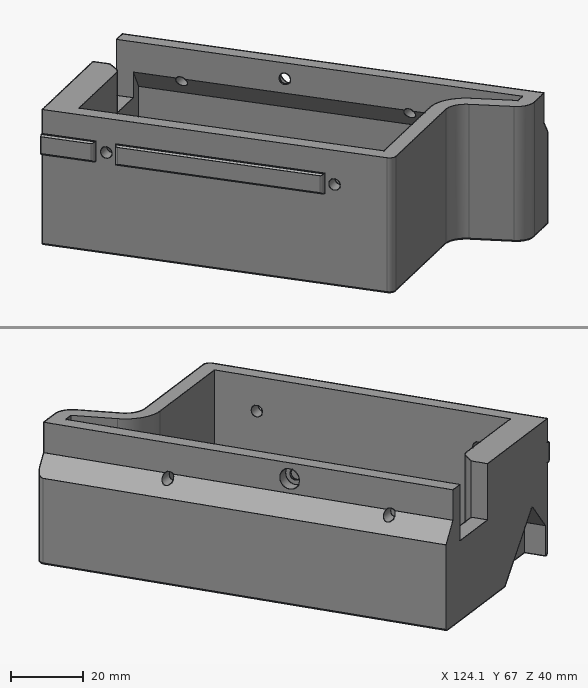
import cadquery as cq
import math

length = 124.1
depth = 65.8
height = 40.0
wall = 4.6
floor = 4.0
bottom_chamfer = 0.5
corner_radius = 2.0

block_length = 103.4
flare_slope = 0.24
flare_tip_y = 49.6
flare_tip_radius = 5.2
flare_root_radius = 6.0

kink_shift = 4.5
kink_top = 31.0
kink_bottom = 25.3
lower_back_wall = 5.0

left_wall = 9.0
notch_wall = 5.0
notch_start_y = 38.8
notch_floor = 23.5
shoulder_radius = 3.7

recess_depth = 6.3
recess_front_y = 1.4
recess_back_y = 27.5
recess_height = 17.1
recess_front_height = 8.9

row_z = 29.9
strip_thickness = 1.2
strip_height = 6.0
strip_end_radius = 1.0
strip_chamfer = 0.5
strip_spans = [(0.0, 15.8), (21.7, 83.1)]

screw_diameter = 3.4
screw_xs = [18.9, 86.0]
middle_x = 49.5
middle_z = 35.2
counterbore_diameter = 6.0
counterbore_web = 0.7

upper_back_y = depth - kink_shift
inner_back_y = upper_back_y - wall
flare_root_y = flare_tip_y - flare_slope * (length - block_length)
flare_wall_in_y = wall * math.hypot(1, flare_slope)
pocket_block_x = block_length - wall
pocket_end_x = length - wall


def pocket_flare_y(x):
    """Y of the inside of the flared wall, one wall thickness behind its outside."""
    return flare_tip_y - flare_slope * (length - x) + flare_wall_in_y


def fillet_upright_edge(solid, x, y, radius):
    """Round the vertical edge that stands at (x, y)."""
    reach = 0.1
    corner = cq.selectors.BoxSelector((x - reach, y - reach, 0), (x + reach, y + reach, height))
    return solid.edges("|Z").edges(corner).fillet(radius)


def kinked_prism(front_y, upper_y, lower_y, bottom_z):
    """Full-length prism whose back face kinks outward below its upper part."""
    return (
        cq.Workplane("YZ")
        .polyline([
            (front_y, bottom_z),
            (lower_y, bottom_z),
            (lower_y, kink_bottom),
            (upper_y, kink_top),
            (upper_y, height),
            (front_y, height),
        ])
        .close()
        .extrude(length)
    )


def outer_block():
    block = (
        cq.Workplane("XY")
        .polyline([
            (0, 0),
            (block_length, 0),
            (block_length, flare_root_y),
            (length, flare_tip_y),
            (length, depth),
            (0, depth),
        ])
        .close()
        .extrude(height)
    )
    block = fillet_upright_edge(block, block_length, 0, corner_radius)
    block = fillet_upright_edge(block, length, depth, corner_radius)
    block = fillet_upright_edge(block, block_length, flare_root_y, flare_root_radius)
    block = fillet_upright_edge(block, length, flare_tip_y, flare_tip_radius)
    block = block.faces("<Z").edges("not <X").chamfer(bottom_chamfer)
    return block.intersect(kinked_prism(0, upper_back_y, depth, 0))


def pocket():
    root_y = pocket_flare_y(pocket_block_x)
    shoulder_y = notch_start_y - (left_wall - notch_wall)
    cavity = (
        cq.Workplane("XY")
        .polyline([
            (left_wall, wall),
            (pocket_block_x, wall),
            (pocket_block_x, root_y),
            (pocket_end_x, pocket_flare_y(pocket_end_x)),
            (pocket_end_x, depth),
            (notch_wall, depth),
            (notch_wall, notch_start_y),
            (left_wall, shoulder_y),
        ])
        .close()
        .extrude(height)
    )
    cavity = fillet_upright_edge(cavity, pocket_block_x, root_y, flare_root_radius + wall)
    cavity = fillet_upright_edge(cavity, left_wall, shoulder_y, shoulder_radius)
    return cavity.intersect(kinked_prism(wall, inner_back_y, depth - lower_back_wall, floor))


def notch():
    width = inner_back_y - notch_start_y
    gap = cq.Workplane("XY").box(notch_wall, width, height - notch_floor, centered=False)
    return gap.translate((0, notch_start_y, notch_floor))


def recess():
    """Recess with a vertical front side and two 45 degree slopes up to a narrow flat peak."""
    return (
        cq.Workplane("YZ")
        .polyline([
            (recess_front_y, 0),
            (recess_front_y, recess_front_height),
            (recess_front_y + recess_height - recess_front_height, recess_height),
            (recess_back_y - recess_height, recess_height),
            (recess_back_y, 0),
        ])
        .close()
        .extrude(recess_depth)
    )


def strip(x_start, x_end):
    """Raised bar with rounded ends and chamfered long edges; an end at the left face stays square."""
    bar = cq.Workplane("XY").box(x_end - x_start, strip_thickness, strip_height, centered=False)
    end_edges = bar.faces("<Y").edges("|Z")
    if x_start == 0:
        end_edges = end_edges.edges(">X")
    rounded = end_edges.fillet(strip_end_radius)
    bevelled = bar.faces("<Y").edges("|X").chamfer(strip_chamfer)
    shaped = rounded.intersect(bevelled)
    return shaped.translate((x_start, -strip_thickness, row_z - strip_height / 2))


def hole(x, z, diameter, start_y):
    """Cylinder along Y from start_y to the back of the housing."""
    start = cq.Workplane("XZ", origin=(x, start_y, z))
    return start.circle(diameter / 2).extrude(start_y - depth)


def make_housing():
    body = outer_block().cut(pocket()).cut(notch()).cut(recess())
    for x_start, x_end in strip_spans:
        body = body.union(strip(x_start, x_end))
    for x in screw_xs:
        body = body.cut(hole(x, row_z, screw_diameter, 0))
    body = body.cut(hole(middle_x, middle_z, screw_diameter, inner_back_y))
    return body.cut(hole(middle_x, middle_z, counterbore_diameter, inner_back_y + counterbore_web))


housing = make_housing()

result = cq.Compound.makeCompound([housing.solids().val()])